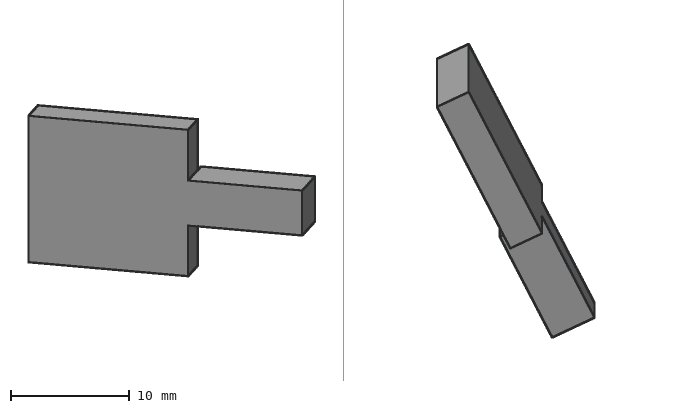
import cadquery as cq

plate_length = 14.0
plate_thickness = 3.0
plate_height = 13.0

tab_length = 10.0
tab_side = 4.0


def block(start_x, length, thickness, height):
    """Box starting at start_x, with its front face on Y = 0 and centred on Z = 0."""
    return (
        cq.Workplane("XY")
        .box(length, thickness, height, centered=(False, False, True))
        .translate((start_x, 0, 0))
    )


plate = block(0, plate_length, plate_thickness, plate_height)
tab = block(plate_length, tab_length, tab_side, tab_side)

result = plate.union(tab)